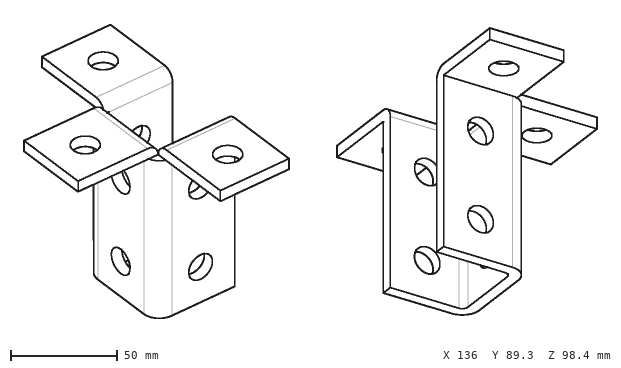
import cadquery as cq

length = 136.0
depth = 89.3
height = 98.4
thickness = 6.3
inner_corner_radius = 3.1
hole_diameter = 14.2
lower_hole_height = 20.7
hole_spacing = 47.5

width = (length - 2 * thickness) / 3
channel_width = width + 2 * thickness
channel_depth = width + thickness
channel_height = height - thickness
front_flange_length = depth - channel_depth
outer_corner_radius = inner_corner_radius + thickness
half_width = width / 2
hole_heights = (lower_hole_height, lower_hole_height + hole_spacing)

leg_hole_y = -half_width


def upright_block(block_width, block_depth, corner_radius):
    """Block reaching forward from the back edge, with its front corners rounded."""
    block = cq.Workplane("XY").box(
        block_width, block_depth, channel_height, centered=(True, False, False)
    )
    return block.translate((0, -block_depth, 0)).edges("|Z and <Y").fillet(corner_radius)


def make_channel():
    """U-shaped upright, open at the back."""
    outside = upright_block(channel_width, channel_depth, outer_corner_radius)
    inside = upright_block(width, width, inner_corner_radius)
    return outside.cut(inside)


def make_flange(flange_length):
    """Flange bent towards +X, its bend starting at x = 0 and centred on y = 0."""
    profile = (
        cq.Workplane("XZ")
        .moveTo(0, channel_height)
        .radiusArc((thickness, height), thickness)
        .lineTo(thickness + flange_length, height)
        .lineTo(thickness + flange_length, channel_height)
        .close()
    )
    flange = profile.extrude(half_width, both=True)
    hole_x = thickness + flange_length - half_width
    hole = (
        cq.Workplane("XY", origin=(hole_x, 0, channel_height))
        .circle(hole_diameter / 2)
        .extrude(thickness)
    )
    return flange.cut(hole)


def make_wall_holes():
    """Bolt holes through both legs and through the front web."""
    holes = cq.Workplane("XY")
    for z in hole_heights:
        leg_hole = (
            cq.Workplane("YZ", origin=(0, leg_hole_y, z))
            .circle(hole_diameter / 2)
            .extrude(channel_width, both=True)
        )
        web_hole = (
            cq.Workplane("XZ", origin=(0, 0, z))
            .circle(hole_diameter / 2)
            .extrude(channel_depth)
        )
        holes = holes.add(leg_hole).add(web_hole)
    return holes.combine()


right_flange = make_flange(width).translate((half_width, -half_width, 0))
left_flange = right_flange.mirror("YZ")
front_flange = (
    make_flange(front_flange_length)
    .rotate((0, 0, 0), (0, 0, 1), -90)
    .translate((0, -width, 0))
)

result = make_channel().cut(make_wall_holes())
for flange in (right_flange, left_flange, front_flange):
    result = result.union(flange)